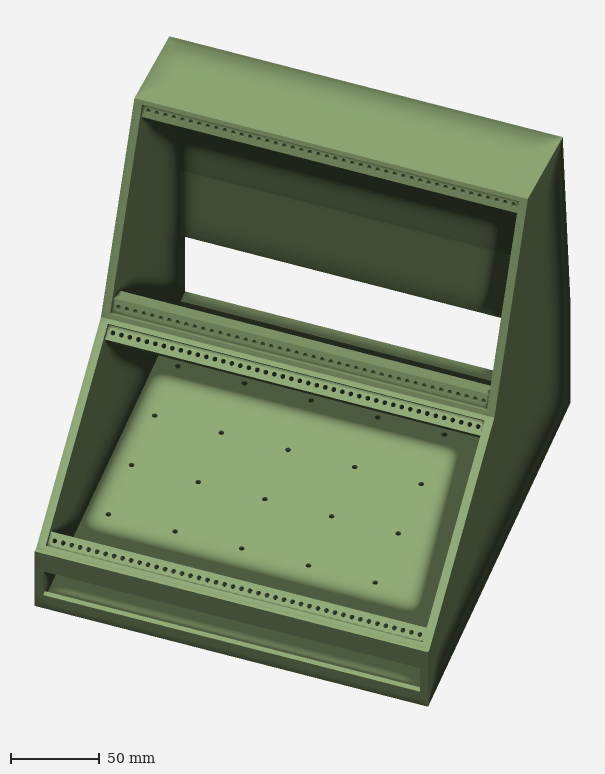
import cadquery as cq
import math

width = 235.2
depth = 245.4
height = 247.5
side_wall = 5.0
inner_width = width - 2 * side_wall

bay_length = 136.5
lower_angle = math.radians(35)
upper_angle = math.radians(65)
crease_y = 114.5
top_angle = math.radians(10)
back_top_y = 232.2
back_lean = math.radians(5)

floor_thickness = 5.0
front_thickness = 3.2
back_thickness = 8.0
sloped_back_thickness = 5.0
top_thickness = 2.5

slot_bottom = 11.0
front_slot_top = 30.7
back_slot_top = 65.9
vent_bottom = 218.9

crease_lip = 3.0
outer_lip = 2.7
rail_recess = 3.2
rail_half_width = 4.7
inner_rail_depth = 12.1
outer_rail_depth = 8.0
rail_hole_count = 44
rail_hole_span = 218.4
rail_hole_diameter = 2.7
rail_hole_spacing = 122.5

notch_diameter = 13.0
notch_depth = 0.7
notch_length = 3.7
notch_offsets = (-75.3, -39.9, 39.9, 75.3)

floor_hole_diameter = 3.2
floor_hole_pitch = 39.9
floor_hole_columns = 6
floor_hole_rows = 5
floor_first_row_y = 35.7

crease_z = height - bay_length * math.sin(upper_angle)
apex_y = crease_y + bay_length * math.cos(upper_angle)
front_lip_y = crease_y - bay_length * math.cos(lower_angle)
front_top_z = crease_z - bay_length * math.sin(lower_angle)
back_top_z = height - (back_top_y - apex_y) * math.tan(top_angle)
back_bend_z = back_top_z - (depth - back_top_y) / math.tan(back_lean)

top_drop = top_thickness / math.cos(top_angle)
inner_bend_z = back_bend_z + (back_thickness - sloped_back_thickness) / math.tan(back_lean)
inner_top_z = back_top_z - top_drop + sloped_back_thickness * math.tan(top_angle)
vent_top = back_top_z - top_drop

inner_hole_offset = (bay_length - rail_hole_spacing) / 2
outer_hole_offset = inner_hole_offset + rail_hole_spacing
inner_rail_edge = inner_hole_offset + rail_half_width
outer_rail_edge = outer_hole_offset - rail_half_width
inner_rail_back = rail_recess + inner_rail_depth
outer_rail_back = rail_recess + outer_rail_depth


def prism(points, length):
    """Extrude a (y, z) outline along X, centred on the case."""
    return cq.Workplane("YZ").polyline(points).close().extrude(length / 2, both=True)


def inner_block(y0, y1, z0, z1):
    """Block across the interior between two Y and two Z values."""
    return prism([(y0, z0), (y1, z0), (y1, z1), (y0, z1)], inner_width)


def bay_point(angle, along, inward):
    """(y, z) at a distance from the crease along a bay face and at a depth behind that face."""
    side = 1 if angle == upper_angle else -1
    y = crease_y + side * along * math.cos(angle) + inward * math.sin(angle)
    z = crease_z + side * along * math.sin(angle) - inward * math.cos(angle)
    return (y, z)


def bay_bar(angle, along_0, along_1, inward_0, inward_1):
    """Rectangular bar across the interior, square to a bay face."""
    corners = [(along_0, inward_0), (along_1, inward_0), (along_1, inward_1), (along_0, inward_1)]
    return prism([bay_point(angle, along, inward) for along, inward in corners], inner_width)


def cylinders(diameter, length, x_places, yz, direction):
    """Equal parallel cylinders that start at one (y, z) and several X places."""
    solids = [
        cq.Solid.makeCylinder(diameter / 2, length, cq.Vector(x, *yz), direction)
        for x in x_places
    ]
    return cq.Workplane(cq.Compound.makeCompound(solids))


def rail_holes(angle, along):
    """Row of screw holes through a rail, square to the bay face."""
    pitch = rail_hole_span / (rail_hole_count - 1)
    x_places = [index * pitch - rail_hole_span / 2 for index in range(rail_hole_count)]
    inward = cq.Vector(0, math.sin(angle), -math.cos(angle))
    return cylinders(rail_hole_diameter, inner_rail_back, x_places, bay_point(angle, along, 0), inward)


def shell():
    """Case with closed sides, floor, front, back and top, open at both bays."""
    outline = [
        (0, 0),
        (depth, 0),
        (depth, back_bend_z),
        (back_top_y, back_top_z),
        (apex_y, height),
        (crease_y, crease_z),
        (front_lip_y, front_top_z),
        (0, front_top_z),
    ]
    cavity = [
        (front_thickness, floor_thickness),
        (depth - back_thickness, floor_thickness),
        (depth - back_thickness, inner_bend_z),
        (back_top_y - sloped_back_thickness, inner_top_z),
        (apex_y, height - top_drop),
        (crease_y, crease_z),
        (front_thickness, front_top_z),
    ]
    case = prism(outline, width).cut(prism(cavity, inner_width))
    for angle in (upper_angle, lower_angle):
        case = case.cut(bay_bar(angle, 0, bay_length - outer_lip, 0, rail_recess))
    return case


def crease_bar():
    """Bar along the crease that carries the inner lips and inner rails of both bays."""
    points = [
        (crease_y, crease_z),
        bay_point(upper_angle, crease_lip, 0),
        bay_point(upper_angle, crease_lip, inner_rail_back),
        bay_point(upper_angle, 0, inner_rail_back),
        bay_point(lower_angle, 0, inner_rail_back),
        bay_point(lower_angle, crease_lip, inner_rail_back),
        bay_point(lower_angle, crease_lip, 0),
    ]
    return prism(points, inner_width)


def top_rail_notches():
    """Notch cutters that graze the back edge of the topmost rail, running along the bay."""
    centre_depth = outer_rail_back - notch_depth + notch_diameter / 2
    start = bay_point(upper_angle, outer_rail_edge, centre_depth)
    outward = cq.Vector(0, math.cos(upper_angle), math.sin(upper_angle))
    return cylinders(notch_diameter, notch_length, notch_offsets, start, outward)


def floor_holes():
    """Grid of through holes in the floor."""
    middle_y = floor_first_row_y + floor_hole_pitch * (floor_hole_rows - 1) / 2
    return (
        cq.Workplane("XY")
        .center(0, middle_y)
        .rarray(floor_hole_pitch, floor_hole_pitch, floor_hole_columns, floor_hole_rows)
        .circle(floor_hole_diameter / 2)
        .extrude(floor_thickness)
    )


body = shell().union(crease_bar())
for bay_angle in (upper_angle, lower_angle):
    body = body.union(bay_bar(bay_angle, bay_length - outer_lip, bay_length, 0, outer_rail_back))
    body = body.union(bay_bar(bay_angle, 0, inner_rail_edge, rail_recess, inner_rail_back))
    body = body.union(bay_bar(bay_angle, outer_rail_edge, bay_length, rail_recess, outer_rail_back))
    for hole_offset in (inner_hole_offset, outer_hole_offset):
        body = body.cut(rail_holes(bay_angle, hole_offset))
body = body.cut(top_rail_notches())

body = body.cut(inner_block(0, front_thickness, slot_bottom, front_slot_top))
body = body.cut(inner_block(depth - back_thickness, depth, slot_bottom, back_slot_top))
body = body.cut(inner_block(back_top_y - sloped_back_thickness, depth, vent_bottom, vent_top))

result = body.cut(floor_holes())